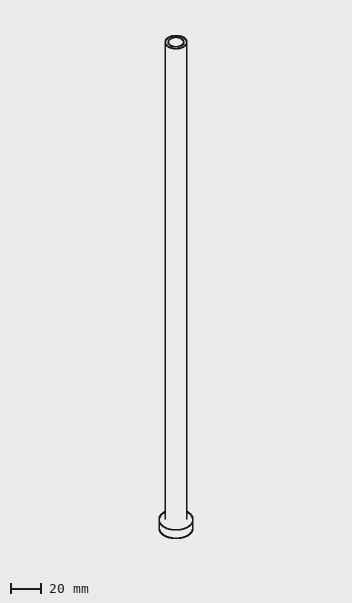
import cadquery as cq

total_length = 400.0
head_diameter = 22.0
shank_diameter = 14.0
head_height = shank_diameter / 2
bore_diameter = 10.0
neck_fillet = 0.7

head_radius = head_diameter / 2
shank_radius = shank_diameter / 2


def sleeve_body():
    """Head and shank turned as one body, with a concave fillet at the neck."""
    profile = (
        cq.Workplane("XZ")
        .lineTo(head_radius, 0)
        .lineTo(head_radius, head_height)
        .lineTo(shank_radius + neck_fillet, head_height)
        .radiusArc((shank_radius, head_height + neck_fillet), neck_fillet)
        .lineTo(shank_radius, total_length)
        .lineTo(0, total_length)
        .close()
    )
    return profile.revolve(360, (0, 0, 0), (0, 1, 0))


def through_bore():
    """Straight bore along the full length."""
    return cq.Workplane("XY").circle(bore_diameter / 2).extrude(total_length)


result = sleeve_body().cut(through_bore())